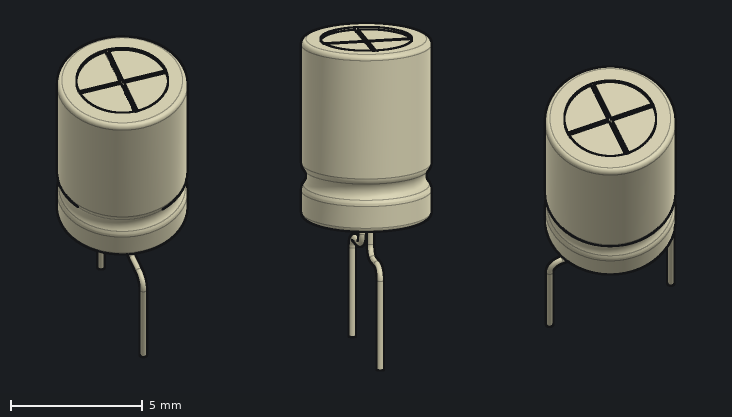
import cadquery as cq
import math

total_height = 12.4
can_height = 7.0
can_diameter = 5.0
can_radius = can_diameter / 2
edge_fillet = 0.2

groove_height = 1.6
groove_depth = 0.2
groove_radius = 0.5
lip_radius = 0.35

vent_diameter = 3.5
recess_depth = 0.1
score_width = 0.12
score_depth = 0.1

wire_diameter = 0.3
inner_lead_x = 0.75
outer_lead_x = can_radius
bend_radius = 0.5
straight_below_can = 0.88
lead_embed = 0.25


def make_can():
    """Revolve the can, with its crimp groove and rounded end edges."""
    center_distance = groove_radius + lip_radius
    tilt = math.acos(1 - groove_depth / center_distance)
    lip_half_height = center_distance * math.sin(tilt)
    lip_center_r = can_radius - lip_radius
    touch_r = lip_center_r + lip_radius * math.cos(tilt)
    touch_half_height = groove_radius * math.sin(tilt)
    lip_mid_r = lip_center_r + lip_radius * math.cos(tilt / 2)
    lip_mid_half_height = lip_half_height - lip_radius * math.sin(tilt / 2)

    profile = (
        cq.Workplane("XZ")
        .lineTo(can_radius, 0)
        .lineTo(can_radius, groove_height - lip_half_height)
        .threePointArc(
            (lip_mid_r, groove_height - lip_mid_half_height),
            (touch_r, groove_height - touch_half_height),
        )
        .threePointArc(
            (can_radius - groove_depth, groove_height),
            (touch_r, groove_height + touch_half_height),
        )
        .threePointArc(
            (lip_mid_r, groove_height + lip_mid_half_height),
            (can_radius, groove_height + lip_half_height),
        )
        .lineTo(can_radius, can_height)
        .lineTo(0, can_height)
        .close()
    )
    can = profile.revolve(360, (0, 0, 0), (0, 1, 0))
    return can.faces("<Z or >Z").edges().fillet(edge_fillet)


def make_vent_cut():
    """Round recess plus two crossing score lines in its floor."""
    top = cq.Workplane("XY").workplane(offset=can_height)
    cut = top.circle(vent_diameter / 2).extrude(-recess_depth)
    for length_x, length_y in ((vent_diameter, score_width), (score_width, vent_diameter)):
        cut = cut.union(top.rect(length_x, length_y).extrude(-recess_depth - score_depth))
    return cut


def make_lead(side):
    """Sweep one lead; side is -1 for the -X lead and +1 for the +X lead."""
    first_bend_z = -straight_below_can
    step_z = first_bend_z - bend_radius
    last_bend_z = step_z - bend_radius
    inner_x = side * inner_lead_x
    outer_x = side * outer_lead_x
    bend_offset = side * bend_radius
    tip_z = can_height - total_height
    path = (
        cq.Workplane("XZ")
        .moveTo(inner_x, lead_embed)
        .lineTo(inner_x, first_bend_z)
        .tangentArcPoint((inner_x + bend_offset, step_z), relative=False)
        .lineTo(outer_x - bend_offset, step_z)
        .tangentArcPoint((outer_x, last_bend_z), relative=False)
        .lineTo(outer_x, tip_z)
    )
    section = cq.Workplane("XY", origin=(inner_x, 0, lead_embed)).circle(wire_diameter / 2)
    return section.sweep(path)


result = make_can().cut(make_vent_cut())
for lead_side in (-1, 1):
    result = result.union(make_lead(lead_side))